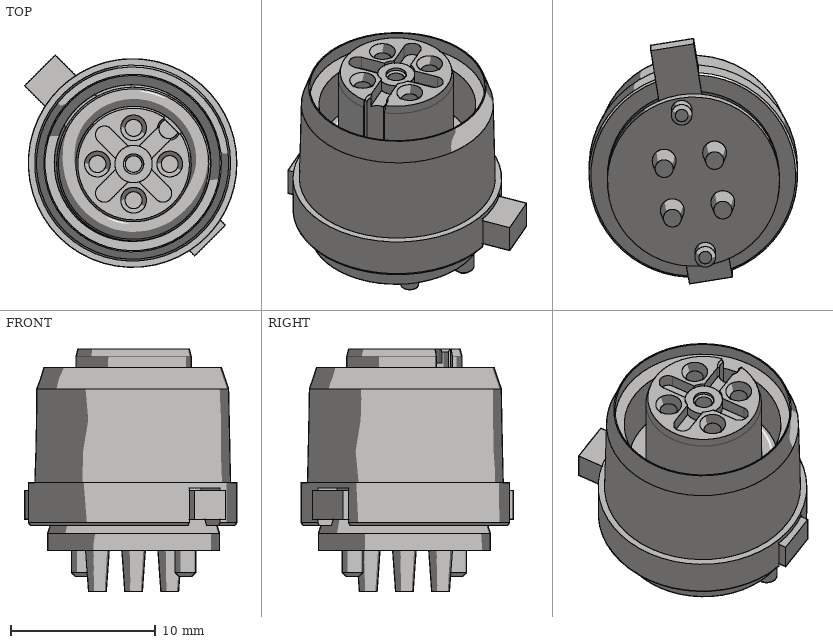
import cadquery as cq


TOTAL_HEIGHT = 16.8
NECK_RADIUS = 5.96
NECK_BOTTOM = 2.82
NECK_TOP = 4.03
BODY_RADIUS = 5.33
BODY_CONE_TOP = 5.93
BODY_CHAMFER = 0.24
STALK_RADIUS = 4.0
STALK_TOP_RADIUS = 3.86
STALK_CHAMFER_BOTTOM = 16.26

HUB_RADIUS = 1.3
HUB_DROP = 0.2
HUB_HOLE_RADIUS = 0.7
HUB_HOLE_STEP = 0.2
HUB_BORE_RADIUS = 0.57
HUB_BORE_CONE = 0.13
GROOVE_WIDTH = 1.23
GROOVE_REACH = 3.48
GROOVE_DEPTH = 0.99

KEY_ANGLE = 45
KEY_CENTRE = 3.45
KEY_RADIUS = 0.67
KEY_CHAMFER_WIDTH = 0.12
KEY_CHAMFER_DEPTH = 0.2
KEY_FLAT = 3.71

CONTACT_COUNT = 4
CONTACT_OFFSET = 2.5
CAVITY_RADIUS = 0.59
CAVITY_MOUTH_RADIUS = 0.89
CAVITY_CONE_DEPTH = 0.57
CAVITY_DEPTH = 6.72
PIN_ROOT_RADIUS = 0.82
PIN_TIP_RADIUS = 0.62

PEG_ANGLES = (135, 315)
PEG_OFFSET = 5.07
PEG_RADIUS = 0.72
PEG_BOTTOM = 1.02
PEG_CHAMFER = 0.29

BLOCK_WIDTH = 3.0
BLOCK_BOTTOM = 4.99
BLOCK_HEIGHT = 2.02
LONG_BLOCK_ANGLE = 135
LONG_BLOCK_REACH = 9.17
SHORT_BLOCK_ANGLE = 315
SHORT_BLOCK_REACH = 7.5

RING_SECTION_RADIUS = 0.6
RING_RADIUS = STALK_RADIUS + RING_SECTION_RADIUS
SHOULDER_Z = 9.58

SHELL_SHIFT = 0.07
SHELL_BOTTOM = 4.57
FLANGE_RADIUS = 7.22
FLANGE_CHAMFER_WIDTH = 0.13
FLANGE_CHAMFER_HEIGHT = 0.2
FLANGE_TOP = 7.55
WALL_BASE_RADIUS = 6.79
WALL_TOP_RADIUS = 6.65
WALL_TOP = 14.03
RIM_RADIUS = 6.15
RIM_TOP = 15.52
MOUTH_RADIUS = 6.06
MOUTH_BOTTOM = 14.52
BORE_RADIUS = 5.43
BORE_TOP = 14.0
SEAT_TOP = 6.08
SEAT_RADIUS = 5.85
SEAT_LIP_RADIUS = 5.95
SLOT_TOP = 7.17


def revolved(profile):
    """Solid of revolution about Z from a closed (radius, z) outline."""
    return cq.Workplane("XZ").polyline(profile).close().revolve(360, (0, 0, 0), (0, 1, 0))


def cylinder(radius, bottom, top):
    return cq.Workplane("XY").workplane(offset=bottom).circle(radius).extrude(top - bottom)


def radial_box(inner, outer, width, bottom, top, angle):
    """Box that runs outward from the Z axis at the given angle."""
    box = cq.Workplane("XY").box(outer - inner, width, top - bottom, centered=(False, True, False))
    return box.translate((inner, 0, bottom)).rotate((0, 0, 0), (0, 0, 1), angle)


def at_polar(shape, distance, angle):
    return shape.translate((distance, 0, 0)).rotate((0, 0, 0), (0, 0, 1), angle)


def contact_angles():
    return [360 / CONTACT_COUNT * i for i in range(CONTACT_COUNT)]


def insert_blank():
    return revolved([
        (0, NECK_BOTTOM),
        (NECK_RADIUS, NECK_BOTTOM),
        (NECK_RADIUS, NECK_TOP),
        (BODY_RADIUS, BODY_CONE_TOP),
        (BODY_RADIUS, SHOULDER_Z - BODY_CHAMFER),
        (BODY_RADIUS - BODY_CHAMFER, SHOULDER_Z),
        (STALK_RADIUS, SHOULDER_Z),
        (STALK_RADIUS, STALK_CHAMFER_BOTTOM),
        (STALK_TOP_RADIUS, TOTAL_HEIGHT),
        (0, TOTAL_HEIGHT),
    ])


def cross_grooves():
    """Rounded cross groove around the hub, leaving the hub standing."""
    bottom = TOTAL_HEIGHT - GROOVE_DEPTH
    grooves = cq.Workplane("XY").workplane(offset=bottom)
    grooves = grooves.slot2D(2 * GROOVE_REACH, GROOVE_WIDTH, KEY_ANGLE).extrude(GROOVE_DEPTH)
    other = grooves.rotate((0, 0, 0), (0, 0, 1), 90)
    return grooves.union(other).cut(cylinder(HUB_RADIUS, bottom, TOTAL_HEIGHT))


def hub_hole():
    """Stepped blind hole in the hub, with the shallow recess above the hub face."""
    hub_face = TOTAL_HEIGHT - HUB_DROP
    step = hub_face - HUB_HOLE_STEP
    bore_bottom = TOTAL_HEIGHT - CAVITY_DEPTH
    return revolved([
        (0, bore_bottom),
        (HUB_BORE_RADIUS, bore_bottom),
        (HUB_BORE_RADIUS, step - HUB_BORE_CONE),
        (HUB_HOLE_RADIUS, step),
        (HUB_HOLE_RADIUS, hub_face),
        (HUB_RADIUS, hub_face),
        (HUB_RADIUS, TOTAL_HEIGHT),
        (0, TOTAL_HEIGHT),
    ])


def contact_cavity():
    """Through hole with a conical mouth; a pin fills its lower part."""
    return revolved([
        (0, NECK_BOTTOM),
        (CAVITY_RADIUS, NECK_BOTTOM),
        (CAVITY_RADIUS, TOTAL_HEIGHT - CAVITY_CONE_DEPTH),
        (CAVITY_MOUTH_RADIUS, TOTAL_HEIGHT),
        (0, TOTAL_HEIGHT),
    ])


def keyway():
    """Round-ended pocket with a chamfered mouth that opens through a flat in the stalk wall."""
    mouth_radius = KEY_RADIUS + KEY_CHAMFER_WIDTH
    floor = SHOULDER_Z + RING_SECTION_RADIUS
    pocket = at_polar(revolved([
        (0, floor),
        (KEY_RADIUS, floor),
        (KEY_RADIUS, TOTAL_HEIGHT - KEY_CHAMFER_DEPTH),
        (mouth_radius, TOTAL_HEIGHT),
        (0, TOTAL_HEIGHT),
    ]), KEY_CENTRE, KEY_ANGLE)
    flat = radial_box(KEY_FLAT, STALK_RADIUS, 2 * mouth_radius, SHOULDER_Z, TOTAL_HEIGHT, KEY_ANGLE)
    return pocket.union(flat)


def peg():
    return revolved([
        (0, PEG_BOTTOM),
        (PEG_RADIUS - PEG_CHAMFER, PEG_BOTTOM),
        (PEG_RADIUS, PEG_BOTTOM + PEG_CHAMFER),
        (PEG_RADIUS, NECK_BOTTOM),
        (0, NECK_BOTTOM),
    ])


def latch_block(reach, angle):
    top = BLOCK_BOTTOM + BLOCK_HEIGHT
    return radial_box(STALK_RADIUS, reach, BLOCK_WIDTH, BLOCK_BOTTOM, top, angle)


def make_insert():
    """Insert with its latch blocks and pegs, less the openings in its face."""
    insert = insert_blank()
    insert = insert.union(latch_block(LONG_BLOCK_REACH, LONG_BLOCK_ANGLE))
    insert = insert.union(latch_block(SHORT_BLOCK_REACH, SHORT_BLOCK_ANGLE))
    for angle in PEG_ANGLES:
        insert = insert.union(at_polar(peg(), PEG_OFFSET, angle))
    for angle in contact_angles():
        insert = insert.cut(at_polar(contact_cavity(), CONTACT_OFFSET, angle))
    return insert.cut(cross_grooves()).cut(hub_hole()).cut(keyway())


def make_pin(angle):
    """Tapered tail below the insert and a straight shank inside the cavity."""
    shank_top = TOTAL_HEIGHT - CAVITY_DEPTH
    pin = revolved([
        (0, 0),
        (PIN_TIP_RADIUS, 0),
        (PIN_ROOT_RADIUS, NECK_BOTTOM),
        (CAVITY_RADIUS, NECK_BOTTOM),
        (CAVITY_RADIUS, shank_top),
        (0, shank_top),
    ])
    return at_polar(pin, CONTACT_OFFSET, angle)


def make_ring():
    """O-ring that touches the stalk and the shoulder of the insert."""
    height = SHOULDER_Z + RING_SECTION_RADIUS
    ring = cq.Solid.makeTorus(RING_RADIUS, RING_SECTION_RADIUS)
    return cq.Workplane(ring).translate((0, 0, height))


def make_shell():
    """Stepped sleeve with a tapered wall and two slots, open at the bottom, for the latch blocks."""
    seat_bottom = SHELL_BOTTOM + FLANGE_CHAMFER_HEIGHT
    shell = revolved([
        (SEAT_LIP_RADIUS, SHELL_BOTTOM),
        (FLANGE_RADIUS - FLANGE_CHAMFER_WIDTH, SHELL_BOTTOM),
        (FLANGE_RADIUS, seat_bottom),
        (FLANGE_RADIUS, FLANGE_TOP),
        (WALL_BASE_RADIUS, FLANGE_TOP),
        (WALL_TOP_RADIUS, WALL_TOP),
        (RIM_RADIUS, RIM_TOP),
        (MOUTH_RADIUS, RIM_TOP),
        (MOUTH_RADIUS, MOUTH_BOTTOM),
        (BORE_RADIUS, BORE_TOP),
        (BORE_RADIUS, SEAT_TOP),
        (SEAT_RADIUS, seat_bottom),
    ]).translate((-SHELL_SHIFT, SHELL_SHIFT, 0))
    for angle in (LONG_BLOCK_ANGLE, SHORT_BLOCK_ANGLE):
        slot = radial_box(STALK_RADIUS, LONG_BLOCK_REACH, BLOCK_WIDTH, SHELL_BOTTOM, SLOT_TOP, angle)
        shell = shell.cut(slot)
    return shell


insert = make_insert().solids()
shell = make_shell().solids()
ring = make_ring().solids()
pins = [make_pin(angle) for angle in contact_angles()]

result = cq.Compound.makeCompound(
    [insert.val(), shell.val(), ring.val()] + [pin.val() for pin in pins]
)